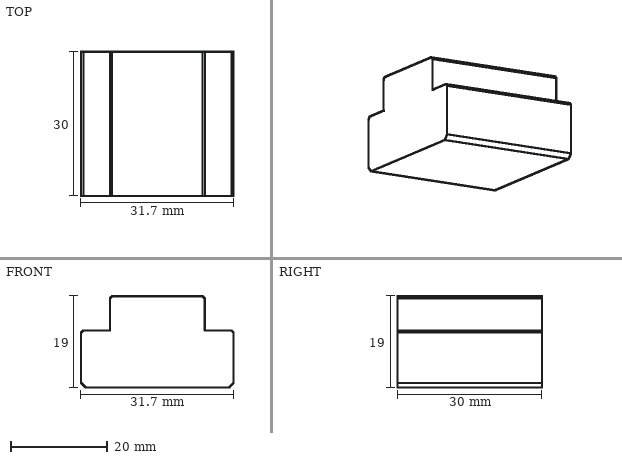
import cadquery as cq

flange_width = 31.7
neck_width = 19.7
length = 30.0
total_height = 19.0
flange_height = 11.9

top_chamfer = 0.5
bottom_chamfer = 1.0


def centred_bar(width, height, base_z):
    """Bar along Y, centred in X and Y, with its underside at base_z."""
    return (
        cq.Workplane("XY")
        .workplane(offset=base_z)
        .box(width, length, height, centered=(True, True, False))
    )


flange = centred_bar(flange_width, flange_height, 0)
flange = flange.faces("<Z").edges("|Y").chamfer(bottom_chamfer)
flange = flange.faces(">Z").edges("|Y").chamfer(top_chamfer)

neck = centred_bar(neck_width, total_height - flange_height, flange_height)
neck = neck.faces(">Z").edges("|Y").chamfer(top_chamfer)

result = flange.union(neck)